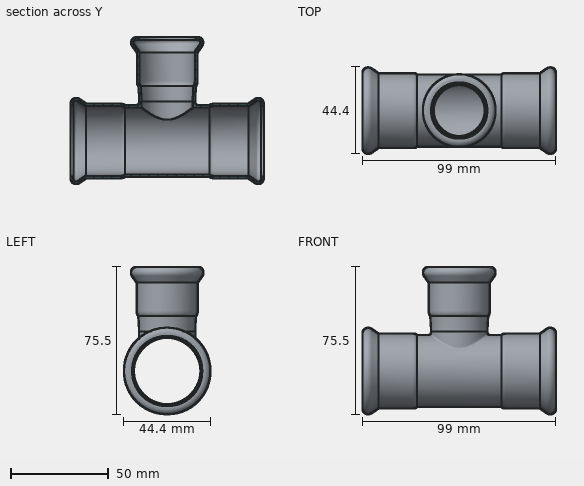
import cadquery as cq
import math


WALL = 1.53
BEAD_RADIUS = 3.0
LIP_STEP = 0.3
STOP_LENGTH = 0.7

RUN_LENGTH = 99.0
RUN_SOCKET_RADIUS = 38.4 / 2
RUN_BODY_RADIUS = 37.0 / 2
RUN_BEAD_DEPTH = 8.2
RUN_SOCKET_DEPTH = 26.1
RUN_STEP_LENGTH = 1.8

BRANCH_TOP = 53.3
BRANCH_SOCKET_RADIUS = 31.3 / 2
BRANCH_SHOULDER_RADIUS = 29.8 / 2
BRANCH_NECK_RADIUS = 29.0 / 2
BRANCH_BORE_RADIUS = 26.0 / 2
BRANCH_BEAD_DEPTH = 8.1
BRANCH_SOCKET_DEPTH = 23.1
BRANCH_STEP_LENGTH = 2.0
BRANCH_TAPER_END = 31.6
BRANCH_LENGTH = 33.2

COLLAR_TOP = BRANCH_TOP - BRANCH_LENGTH
COLLAR_FILLET = 1.0


def bead_angle(bead_depth):
    """Angle from the axis direction to the point where the bead runs into its cone."""
    return math.acos(BEAD_RADIUS / (bead_depth - BEAD_RADIUS))


def add_bead_arc(sketch, socket_radius, radius, angle):
    """Arc about the bead centre, from the mouth side to the start of the cone."""
    def point(direction):
        return (
            socket_radius + radius * math.sin(direction),
            BEAD_RADIUS + radius * math.cos(direction),
        )

    return sketch.threePointArc(point((math.pi + angle) / 2), point(angle))


def add_step(sketch, large_radius, small_radius, start, length):
    """Arc that leaves the socket wall tangentially and curves in to the smaller radius."""
    sketch = sketch.lineTo(large_radius, start)
    return sketch.tangentArcPoint((small_radius, start + length), relative=False)


def socket_outside(socket_radius, bead_depth, socket_depth, step_radius, step_length):
    """Open outer profile in (radius, depth), from the mouth centre to the end of the step."""
    sketch = cq.Workplane("XY").moveTo(0, 0).lineTo(socket_radius, 0)
    sketch = add_bead_arc(sketch, socket_radius, BEAD_RADIUS, bead_angle(bead_depth))
    sketch = sketch.lineTo(socket_radius, bead_depth)
    return add_step(sketch, socket_radius, step_radius, socket_depth, step_length)


def socket_inside(socket_radius, bead_depth, socket_depth, step_radius, step_length):
    """Open inner profile: lip, seal groove inside the bead, stop cone, bore and step."""
    bore_radius = socket_radius - WALL
    lip_radius = bore_radius + LIP_STEP
    angle = bead_angle(bead_depth)
    groove_radius = BEAD_RADIUS - WALL
    inset = socket_radius - lip_radius
    groove_end = BEAD_RADIUS + (groove_radius + inset * math.sin(angle)) / math.cos(angle)

    sketch = cq.Workplane("XY").moveTo(0, 0).lineTo(lip_radius, 0).lineTo(lip_radius, WALL)
    sketch = sketch.lineTo(socket_radius, WALL)
    sketch = add_bead_arc(sketch, socket_radius, groove_radius, angle)
    sketch = sketch.lineTo(lip_radius, groove_end)
    sketch = sketch.lineTo(bore_radius, groove_end + STOP_LENGTH)
    return add_step(sketch, bore_radius, step_radius - WALL, socket_depth, step_length)


def turn(profile, end_depth):
    """Close a profile along the axis at end_depth and revolve it about that axis."""
    return profile.lineTo(0, end_depth).close().revolve(360, (0, 0, 0), (0, 1, 0))


def turn_run_half(make_profile, body_radius):
    """Half of the run, from the mouth at -X to the middle."""
    middle = RUN_LENGTH / 2
    profile = make_profile(
        RUN_SOCKET_RADIUS, RUN_BEAD_DEPTH, RUN_SOCKET_DEPTH, RUN_BODY_RADIUS, RUN_STEP_LENGTH
    )
    half = turn(profile.lineTo(body_radius, middle), middle)
    return half.rotate((0, 0, 0), (0, 0, 1), -90).translate((-middle, 0, 0))


def mirror_run(half):
    return half.union(half.mirror("YZ"))


def make_run():
    outside = mirror_run(turn_run_half(socket_outside, RUN_BODY_RADIUS))
    collar = cq.Workplane("XY").circle(BRANCH_NECK_RADIUS).extrude(COLLAR_TOP)
    joint_box = cq.selectors.BoxSelector(
        (-BRANCH_SOCKET_RADIUS, -BRANCH_SOCKET_RADIUS, 0),
        (BRANCH_SOCKET_RADIUS, BRANCH_SOCKET_RADIUS, COLLAR_TOP - COLLAR_FILLET / 2),
        boundingbox=True,
    )
    outside = outside.union(collar).edges(joint_box).fillet(COLLAR_FILLET)
    run_bore = mirror_run(turn_run_half(socket_inside, RUN_BODY_RADIUS - WALL))
    collar_bore = cq.Workplane("XY").circle(BRANCH_BORE_RADIUS).extrude(COLLAR_TOP)
    return outside.cut(run_bore).cut(collar_bore)


def turn_branch(make_profile, neck_radius):
    """Branch shape with a tapered neck, mouth up and its lower end on the collar."""
    profile = make_profile(
        BRANCH_SOCKET_RADIUS, BRANCH_BEAD_DEPTH, BRANCH_SOCKET_DEPTH,
        BRANCH_SHOULDER_RADIUS, BRANCH_STEP_LENGTH,
    )
    profile = profile.lineTo(neck_radius, BRANCH_TAPER_END).lineTo(neck_radius, BRANCH_LENGTH)
    shape = turn(profile, BRANCH_LENGTH)
    return shape.rotate((0, 0, 0), (1, 0, 0), -90).translate((0, 0, BRANCH_TOP))


def make_branch():
    outside = turn_branch(socket_outside, BRANCH_NECK_RADIUS)
    inside = turn_branch(socket_inside, BRANCH_BORE_RADIUS)
    return outside.cut(inside)


run = make_run()
branch = make_branch()

result = cq.Compound.makeCompound([run.val(), branch.val()])